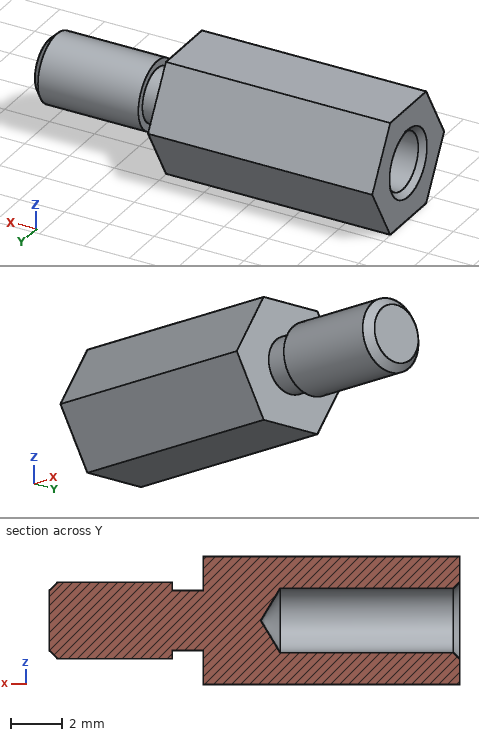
import cadquery as cq
import math

across_flats = 5.0
body_length = 10.0
thread_diameter = 3.0
stud_length = 6.0
neck_diameter = 2.35
neck_length = 1.2
hole_diameter = 2.5
hole_depth = 7.0
drill_point_angle = 118.0

across_corners = across_flats / math.cos(math.radians(30))
thread_radius = thread_diameter / 2
neck_radius = neck_diameter / 2
hole_radius = hole_diameter / 2
mouth_chamfer = thread_radius - hole_radius
tip_chamfer = thread_radius - neck_radius
drill_point_depth = hole_radius / math.tan(math.radians(drill_point_angle / 2))


def revolve_about_x(profile):
    """Turn a closed profile of (x, radius) points around the X axis."""
    return cq.Workplane("XY").polyline(profile).close().revolve(360, (0, 0, 0), (1, 0, 0))


def hex_body():
    """Hexagonal bar with flats facing +Z and -Z and corners along Y."""
    return cq.Workplane("YZ").polygon(6, across_corners).extrude(body_length)


def stud():
    """Externally threaded end, modelled smooth, with a relief neck and a chamfered tip."""
    shoulder_x = body_length + neck_length
    tip_x = body_length + stud_length
    return revolve_about_x([
        (body_length, 0),
        (body_length, neck_radius),
        (shoulder_x, neck_radius),
        (shoulder_x, thread_radius),
        (tip_x - tip_chamfer, thread_radius),
        (tip_x, thread_radius - tip_chamfer),
        (tip_x, 0),
    ])


def tapped_hole():
    """Blind hole from the X = 0 end with a countersunk mouth and a conical bottom."""
    return revolve_about_x([
        (0, 0),
        (0, thread_radius),
        (mouth_chamfer, hole_radius),
        (hole_depth, hole_radius),
        (hole_depth + drill_point_depth, 0),
    ])


result = hex_body().union(stud()).cut(tapped_hole())